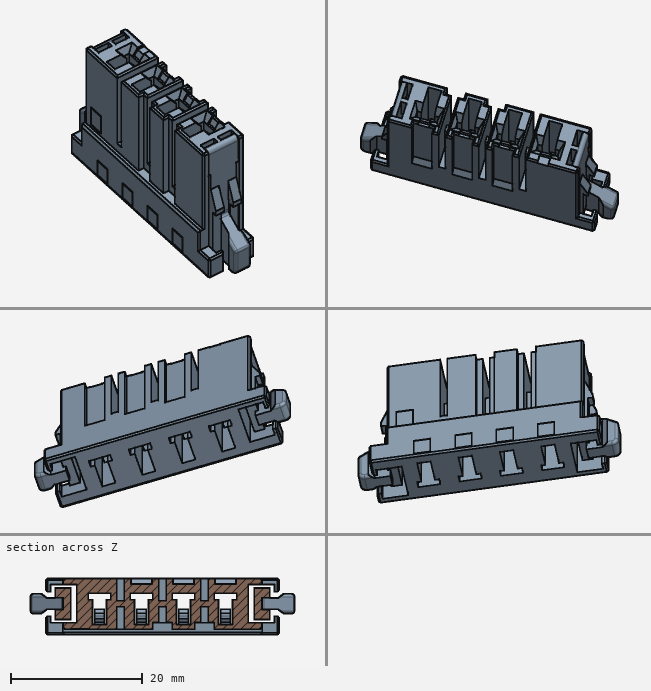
import cadquery as cq

LENGTH = 40.05
DEPTH = 8.57
HEIGHT = 23.03
EDGE = 0.3

PITCH = 6.35
CONTACTS = 4
CAVITY_CENTERS = [(i - (CONTACTS - 1) / 2) * PITCH for i in range(CONTACTS)]
SLOT_CENTERS = [(i - (CONTACTS - 2) / 2) * PITCH for i in range(CONTACTS - 1)]

BODY_HALF = 15.1
BODY_FRONT = 0.85
BASE_HALF = 17.7
BASE_HEIGHT = 3.92
FLANGE_HEIGHT = 7.8
FLANGE_EDGE = 0.35

SLOT_WIDTH = 1.1
SLOT_FLOOR = 9.4
WEB_TOP = 16.3
WEB_FRONT = 4.25
WEB_BACK = 5.2

FRONT_KEY_WIDTH = 2.92
FRONT_KEY_FLOOR = 1.85
BACK_KEY_WIDTH = 3.15
BACK_KEY_FLOOR = 7.73

FUNNEL_DEPTH = 1.32
FUNNEL_WIDTH, FUNNEL_FRONT, FUNNEL_BACK = 4.6, 4.25, 7.3
THROAT_WIDTH, THROAT_FRONT, THROAT_BACK = 3.4, 5.33, 6.3
STEM_WIDTH, STEM_FRONT = 2.1, 1.6
NOTCH_WIDTH, NOTCH_DEPTH = 1.7, 0.4
NOTCH_SLOPE_END = 6.65
LANCE_WIDTH = 1.5
LANCE_PROFILE = [
    (1.32, 8.0),
    (1.32, 10.2),
    (1.92, 9.6),
    (2.4, 9.9),
    (2.92, 9.95),
    (3.3, 9.9),
    (3.9, 9.6),
]

RAIL_FRONT, RAIL_BACK = 1.85, 7.6
BEAM_FRONT, BEAM_BACK = 2.32, 7.13
BEAM_TOP, BEAM_BOTTOM = 18.02, 2.05
BEAM_INNER = 13.9
CLEARANCE_INNER = 13.0
BEAM_SHOULDER = 14.8
BEAM_SLOPE_END = 9.6
BEAM_ROUND = 0.75
RIB_FRONT, RIB_BACK = 4.35, 5.05
PAD_OUTER = 15.55
TOOTH_OUTER = 16.3
TOOTH_TOP, TOOTH_EDGE, TOOTH_BOTTOM = 15.55, 11.6, 10.75

ARM_WIDTH, ARM_TOP, ARM_BOTTOM = 1.75, 8.55, 0.55
HEAD_WIDTH, HEAD_TOP = 3.05, 5.45
NECK_END, HEAD_START = 17.55, 18.42
HEAD_ROUND = 0.5
BOTTOM_ROUND = 0.95
ROOT_ROUND = 0.6
ARM_CENTER = (BEAM_FRONT + BEAM_BACK) / 2

HOOK_INNER = 17.0
HOOK_FRONT, HOOK_BACK = 2.85, 6.53

PANEL_WIDTH, PANEL_DEPTH = 2.55, 0.1
NUMBER_BOTTOM, NUMBER_TOP = 0.5, 3.5
KEY_PANEL_X, KEY_PANEL_BOTTOM, KEY_PANEL_TOP = -12.38, 8.35, 11.85


def block(x0, x1, y0, y1, z0, z1):
    """Box given by its limits."""
    return cq.Workplane("XY").box(x1 - x0, y1 - y0, z1 - z0, centered=False).translate((x0, y0, z0))


def centered_block(x, width, y0, y1, z0, z1):
    """Box centred on x, given by its limits in Y and Z."""
    return block(x - width / 2, x + width / 2, y0, y1, z0, z1)


def side_prism(x, width, points):
    """Prism of a (y, z) outline, centred on x."""
    return cq.Workplane("YZ").polyline(points).close().extrude(width / 2, both=True).translate((x, 0, 0))


def both_ends(left):
    """The left end feature together with its mirror image."""
    return left.union(left.mirror("YZ"))


def housing():
    """Chamfered tower with slots and keying recesses."""
    body = block(-BODY_HALF, BODY_HALF, BODY_FRONT, DEPTH, EDGE, HEIGHT).edges("|Z").chamfer(EDGE)
    for x in SLOT_CENTERS:
        body = body.cut(centered_block(x, SLOT_WIDTH, 0, DEPTH, SLOT_FLOOR, HEIGHT))
    for x in SLOT_CENTERS[1:]:
        body = body.cut(centered_block(x, FRONT_KEY_WIDTH, 0, FRONT_KEY_FLOOR, FLANGE_HEIGHT, HEIGHT))
    for x in CAVITY_CENTERS[1:]:
        back_key_depth = DEPTH - BACK_KEY_FLOOR
        body = body.cut(side_prism(x, BACK_KEY_WIDTH, [
            (BACK_KEY_FLOOR, FLANGE_HEIGHT + back_key_depth),
            (DEPTH, FLANGE_HEIGHT),
            (DEPTH, HEIGHT),
            (BACK_KEY_FLOOR, HEIGHT),
        ]))
    body = body.faces(">Z").edges().chamfer(EDGE)
    for x in SLOT_CENTERS:
        body = body.union(centered_block(x, SLOT_WIDTH, WEB_FRONT, WEB_BACK, SLOT_FLOOR, WEB_TOP))
    return body


def base():
    """Chamfered foot with the taller front flange."""
    foot = block(-BASE_HALF, BASE_HALF, 0, DEPTH, 0, BASE_HEIGHT).edges().chamfer(EDGE)
    flange = block(-BODY_HALF, BODY_HALF, 0, RAIL_FRONT, EDGE, FLANGE_HEIGHT)
    flange = flange.edges("|Z and <Y").chamfer(EDGE).faces(">Z").edges("<Y").chamfer(FLANGE_EDGE)
    return foot.union(flange)


def hook_opening():
    """T-shaped opening that leaves two hooks at the left end of the base."""
    outside = BASE_HALF + EDGE
    lip = BASE_HALF - EDGE
    outline = [
        (-BODY_HALF, RAIL_FRONT),
        (-HOOK_INNER, RAIL_FRONT),
        (-HOOK_INNER, HOOK_FRONT),
        (-lip, HOOK_FRONT),
        (-BASE_HALF, HOOK_FRONT - EDGE),
        (-outside, HOOK_FRONT - EDGE),
        (-outside, HOOK_BACK + EDGE),
        (-BASE_HALF, HOOK_BACK + EDGE),
        (-lip, HOOK_BACK),
        (-HOOK_INNER, HOOK_BACK),
        (-HOOK_INNER, RAIL_BACK),
        (-BODY_HALF, RAIL_BACK),
    ]
    return cq.Workplane("XY").polyline(outline).close().extrude(BASE_HEIGHT)


def beam_clearance():
    """Space behind, beside and below the left beam, with the beam's sloping face and rounded top."""
    behind = block(-BEAM_INNER, -CLEARANCE_INNER, RAIL_FRONT, RAIL_BACK, 0, HEIGHT)
    behind = behind.cut(block(-BEAM_INNER, -CLEARANCE_INNER, RIB_FRONT, RIB_BACK, BEAM_TOP, HEIGHT))
    front_gap = block(-BODY_HALF, -BEAM_INNER, RAIL_FRONT, BEAM_FRONT, 0, BEAM_TOP)
    back_gap = block(-BODY_HALF, -BEAM_INNER, BEAM_BACK, RAIL_BACK, 0, BEAM_TOP)
    below = block(-BODY_HALF, -BEAM_INNER, RAIL_FRONT, RAIL_BACK, 0, BEAM_BOTTOM)
    bend = 0.5 ** 0.5 * BEAM_ROUND
    roll_x, roll_z = BEAM_ROUND - BEAM_SHOULDER, HEIGHT - BEAM_ROUND
    corner = (
        cq.Workplane("XZ", origin=(0, RAIL_FRONT, 0))
        .moveTo(-BODY_HALF, BEAM_SLOPE_END)
        .lineTo(-BEAM_SHOULDER, roll_z)
        .threePointArc((roll_x - bend, roll_z + bend), (roll_x, HEIGHT))
        .lineTo(-BODY_HALF, HEIGHT)
        .close()
        .extrude(RAIL_FRONT - RAIL_BACK)
    )
    return behind.union(front_gap).union(back_gap).union(below).union(corner)


def latch_teeth():
    """Two latch teeth with the pads below them, on the left beam."""
    outline = [
        (-BEAM_INNER, BEAM_BOTTOM),
        (-PAD_OUTER, BEAM_BOTTOM),
        (-PAD_OUTER, TOOTH_BOTTOM),
        (-TOOTH_OUTER, TOOTH_BOTTOM),
        (-TOOTH_OUTER, TOOTH_EDGE),
        (-BEAM_SHOULDER, TOOTH_TOP),
        (-BEAM_INNER, TOOTH_TOP),
    ]
    teeth = cq.Workplane("XZ", origin=(0, BEAM_FRONT, 0)).polyline(outline).close()
    teeth = teeth.extrude(BEAM_FRONT - BEAM_BACK)
    groove = block(
        -TOOTH_OUTER, -BEAM_INNER, ARM_CENTER - ARM_WIDTH / 2, ARM_CENTER + ARM_WIDTH / 2, 0, HEIGHT
    )
    return teeth.cut(groove)


def release_arm():
    """Finger arm with a wider rounded head, at the left end."""
    tip = LENGTH / 2
    root_z = ARM_TOP + (PAD_OUTER - BODY_HALF) * (ARM_TOP - HEAD_TOP) / (tip - PAD_OUTER)
    side = cq.Workplane("XZ").polyline([
        (-BEAM_INNER, BEAM_BOTTOM),
        (-BODY_HALF, BEAM_BOTTOM),
        (-BODY_HALF, ARM_BOTTOM),
        (-tip, ARM_BOTTOM),
        (-tip, HEAD_TOP),
        (-BODY_HALF, root_z),
        (-BODY_HALF, BEAM_SLOPE_END),
        (-BEAM_INNER, BEAM_SLOPE_END),
    ]).close().extrude(-DEPTH)
    neck, head = ARM_WIDTH / 2, HEAD_WIDTH / 2
    front_half = [(-BEAM_INNER, -neck), (-NECK_END, -neck), (-HEAD_START, -head), (-tip, -head)]
    back_half = [(x, -y) for x, y in reversed(front_half)]
    plan = cq.Workplane("XY").polyline(front_half + back_half).close().extrude(HEIGHT)
    arm = side.intersect(plan.translate((0, ARM_CENTER, 0)))
    root = cq.selectors.NearestToPointSelector((-BODY_HALF, ARM_CENTER, root_z))
    arm = arm.edges(root).fillet(ROOT_ROUND)
    arm = arm.faces("<X").edges("<Z").fillet(BOTTOM_ROUND)
    head_region = cq.selectors.BoxSelector((-LENGTH, 0, 0), (-HEAD_START - EDGE, DEPTH, HEIGHT))
    head_edges = arm.faces("<X").edges().add(arm.edges(head_region))
    return head_edges.fillet(HEAD_ROUND)


def cavity(x):
    """Funnel mouth, T-shaped passage and rear notch of one contact."""
    funnel = (
        cq.Workplane("XY", origin=(x, (FUNNEL_FRONT + FUNNEL_BACK) / 2, HEIGHT))
        .rect(FUNNEL_WIDTH, FUNNEL_BACK - FUNNEL_FRONT)
        .workplane(offset=-FUNNEL_DEPTH)
        .center(0, (THROAT_FRONT + THROAT_BACK - FUNNEL_FRONT - FUNNEL_BACK) / 2)
        .rect(THROAT_WIDTH, THROAT_BACK - THROAT_FRONT)
        .loft(ruled=True)
    )
    throat = centered_block(x, THROAT_WIDTH, THROAT_FRONT, THROAT_BACK, 0, HEIGHT)
    stem = centered_block(x, STEM_WIDTH, STEM_FRONT, THROAT_BACK, 0, HEIGHT)
    notch = side_prism(x, NOTCH_WIDTH, [
        (DEPTH, HEIGHT),
        (DEPTH, HEIGHT - NOTCH_DEPTH),
        (FUNNEL_BACK, HEIGHT - NOTCH_DEPTH),
        (NOTCH_SLOPE_END, HEIGHT - FUNNEL_DEPTH),
        (THROAT_BACK, HEIGHT - FUNNEL_DEPTH),
        (THROAT_BACK, HEIGHT),
    ])
    return funnel.union(throat).union(stem).union(notch)


def lance(x):
    """Retaining tongue on the front wall of a cavity."""
    return side_prism(x, LANCE_WIDTH, LANCE_PROFILE)


result = base().union(housing())
result = result.cut(both_ends(hook_opening().union(beam_clearance())))
result = result.union(both_ends(latch_teeth().union(release_arm())))
for center in CAVITY_CENTERS:
    result = result.cut(cavity(center)).union(lance(center))
    result = result.cut(centered_block(center, PANEL_WIDTH, 0, PANEL_DEPTH, NUMBER_BOTTOM, NUMBER_TOP))
result = result.cut(centered_block(
    KEY_PANEL_X, PANEL_WIDTH, BODY_FRONT, BODY_FRONT + PANEL_DEPTH, KEY_PANEL_BOTTOM, KEY_PANEL_TOP
))